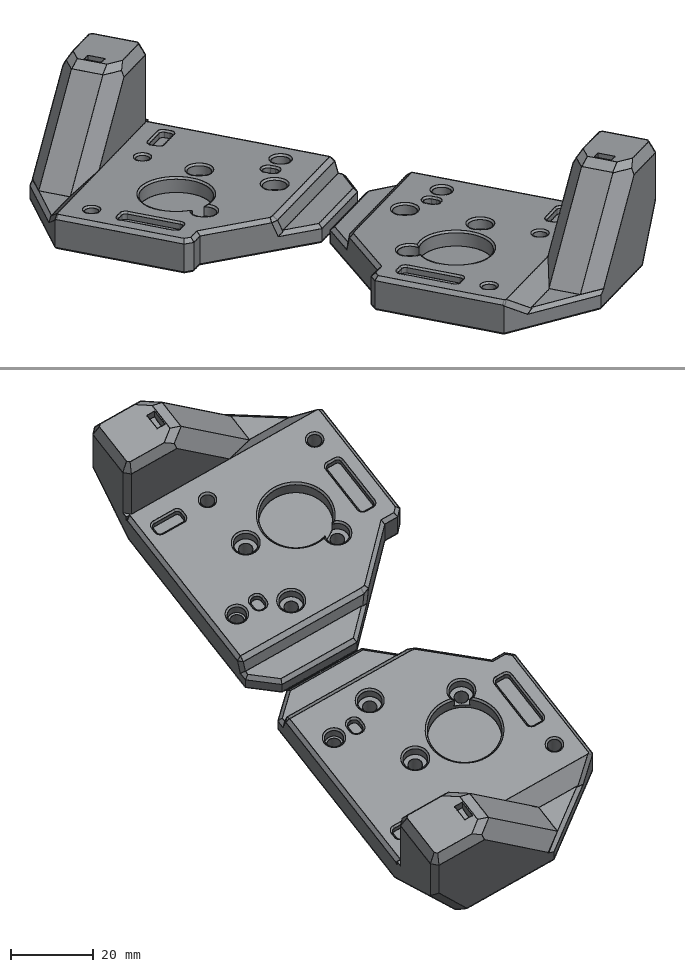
import cadquery as cq
import math

total_width = 150.1
depth = 56.8
tower_height = 30.2
half_gap = 1.0

plate_height = 9.0
ledge_height = 5.0
plate_reach = total_width / 2 - half_gap
front_edge_end = 51.8
front_corner_bevel = 1.8
notch_y = 5.5
tip_front_y = 28.4
tip_back_y = 50.1
tip_back_x = 68.0
step_top_x = 65.3
step_foot_x = 66.5
side_corner_y = 21.9
edge_chamfer = 1.0
base_chamfer = 0.5

tower_width = 16.0
crown_facet_drop = 1.43
slope_top_y = depth - 18.5
slope_top_z = tower_height - crown_facet_drop
slope_foot_y = depth - 38.5
root_y = depth / 2
crest_y = depth - 15.5
flank_leg = 3.9
crown_inset = 1.5
crown_drop = 3.0
crown_corner_y = depth - 12.0
crown_facet_run = 2.0
corner_bevel = 1.5

undercut_depth = 8.0
undercut_slope = math.radians(60)
undercut_width = 17.7
undercut_bevel = 1.7

recess_length = 4.5
recess_width = 2.3
recess_y = 42.8
recess_depth = 3.0
recess_floor_radius = 5.3

rim_chamfer = 0.5
bore_diameter = 3.5
counterbore_diameter = 6.0
small_counterbore_diameter = 4.7
counterbore_floor = 6.0
round_pocket_floor = 5.0
mount_x = 22.8
mount_ys = (6.6, 37.7)
screw_mid_x = 48.0
screw_spacing = 19.8
screw_back_y = 36.8
screw_front_y = 16.8
peg_x = 53.9
peg_y = 49.8
round_pocket_diameter = 18.0
round_pocket_x = 38.3
round_pocket_y = 22.4
slot_depth = 2.0
slots = (
    (mount_x, 49.0, 3.5, 8.0, 1.0),
    (round_pocket_x, mount_ys[0], 15.9, 4.0, 1.0),
    (peg_x, 43.7, 4.0, 3.0, 1.4),
)

cutter_size = 3 * depth


def slice_off(body, point, outward):
    """Remove everything beyond the plane through point that faces outward."""
    plane = cq.Plane(origin=point, normal=outward)
    cutter = cq.Workplane(plane).rect(cutter_size, cutter_size).extrude(cutter_size)
    return body.cut(cutter)


def extrude_outline(height):
    """Footprint of the bracket, extruded upwards from the underside."""
    outline = [
        (0, side_corner_y),
        (tower_width, 0),
        (front_edge_end - front_corner_bevel, 0),
        (front_edge_end, front_corner_bevel),
        (front_edge_end, notch_y),
        (plate_reach, tip_front_y),
        (plate_reach, tip_back_y),
        (tip_back_x, depth),
        (corner_bevel, depth),
        (0, depth - corner_bevel),
    ]
    return cq.Workplane("XY").polyline(outline).close().extrude(height)


def build_plate():
    """Thin slab that forms the deck and the ledge, with the full-height block standing on it."""
    slab = extrude_outline(ledge_height)
    slab = slab.faces(">Z").edges("not <X").chamfer(edge_chamfer)

    step_lean = (step_foot_x - step_top_x) / (plate_height - ledge_height)
    section = [
        (tower_width - plate_height, 0),
        (step_top_x + step_lean * plate_height, 0),
        (step_top_x, plate_height),
        (tower_width, plate_height),
    ]
    block = cq.Workplane("XZ").polyline(section).close().extrude(-depth)
    block = block.intersect(extrude_outline(plate_height))
    rim = block.edges("not(|Z or <Z)").filter(lambda edge: abs(edge.Center().x - tower_width) > 0.02)
    block = rim.chamfer(edge_chamfer)
    return slab.union(block)


def build_tower():
    profile = [
        (depth, 0),
        (depth, tower_height),
        (crest_y, tower_height),
        (slope_top_y, slope_top_z),
        (slope_foot_y, ledge_height),
        (root_y, ledge_height),
        (root_y, 0),
    ]
    tower = cq.Workplane("YZ").polyline(profile).close().extrude(tower_width)

    crown_z = tower_height - crown_drop
    tower = slice_off(tower, (0, depth, crown_z), (0, crown_drop, crown_inset))

    slope_angle = math.atan2(slope_top_z - ledge_height, slope_top_y - slope_foot_y)
    flank_y = -math.sin(slope_angle)
    flank_z = math.cos(slope_angle)
    facet_length = math.hypot(1, flank_y)
    for face_x, side in ((0, -1), (tower_width, 1)):
        tower = slice_off(tower, (face_x, depth, crown_z), (side * crown_drop, 0, crown_inset))
        flank_point = (face_x - side * flank_leg, slope_top_y, slope_top_z)
        tower = slice_off(tower, flank_point, (side, flank_y, flank_z))
        facet_point = (face_x - side * crown_inset, crown_corner_y, tower_height)
        facet_normal = (
            side * crown_facet_drop / facet_length,
            flank_y * crown_facet_drop / facet_length,
            crown_facet_run,
        )
        tower = slice_off(tower, facet_point, facet_normal)
        corner = cq.Workplane("XY", origin=(face_x, depth, 0 if side < 0 else plate_height))
        corner = corner.polyline([(0, 0), (-side * corner_bevel, 0), (0, -corner_bevel)]).close()
        tower = tower.cut(corner.extrude(tower_height))
        corner_point = (face_x - side * corner_bevel, depth, crown_z)
        lean = crown_drop / math.sqrt(2)
        tower = slice_off(tower, corner_point, (side * lean, lean, crown_inset))
    return tower


def cut_corner(body):
    """Undercut the lower back corner on the outer side and bevel the new edge."""
    undercut_height = undercut_depth * math.tan(undercut_slope)
    face = cq.Vector(-1, 0, 0)
    undercut = cq.Vector(-1 / undercut_width, 1 / undercut_depth, -1 / undercut_height).normalized()
    body = slice_off(body, (undercut_width, depth, 0), undercut.toTuple())
    bevel_y = depth - undercut_depth - undercut_bevel / math.sin(undercut_slope)
    return slice_off(body, (0, bevel_y, 0), (face + undercut).toTuple())


def recess_cutter():
    """Short slot across the tower top with a floor that is rounded about the y axis."""
    middle_x = tower_width / 2
    left = middle_x - recess_length / 2
    right = middle_x + recess_length / 2
    sag = recess_floor_radius - math.sqrt(recess_floor_radius**2 - (recess_length / 2) ** 2)
    floor_z = tower_height - recess_depth
    return (
        cq.Workplane("XZ", origin=(0, recess_y + recess_width / 2, 0))
        .moveTo(left, tower_height)
        .lineTo(left, floor_z + sag)
        .threePointArc((middle_x, floor_z), (right, floor_z + sag))
        .lineTo(right, tower_height)
        .close()
        .extrude(recess_width)
    )


def round_cutter(x, y, diameter, floor_z):
    """Round hole from the plate top down to floor_z, with a chamfered rim."""
    hole = cq.Workplane("XY", origin=(x, y, floor_z)).circle(diameter / 2).extrude(plate_height - floor_z)
    rim = (
        cq.Workplane("XY", origin=(x, y, plate_height))
        .circle(diameter / 2 + rim_chamfer)
        .extrude(-rim_chamfer, taper=45)
    )
    return hole.union(rim)


def slot_cutter(x, y, length_x, length_y, corner_radius):
    """Blind slot with rounded corners and a chamfered rim."""
    slot = (
        cq.Workplane("XY", origin=(x, y, plate_height - slot_depth))
        .rect(length_x, length_y)
        .extrude(slot_depth)
        .edges("|Z")
        .fillet(corner_radius)
    )
    rim = slot.faces(">Z").wires().toPending().workplane().offset2D(rim_chamfer)
    return slot.union(rim.extrude(-rim_chamfer, taper=45))


def cut_holes(body):
    for y in mount_ys:
        body = body.cut(round_cutter(mount_x, y, bore_diameter, 0))

    counterbores = [
        (screw_mid_x - screw_spacing / 2, screw_back_y, counterbore_diameter),
        (screw_mid_x + screw_spacing / 2, screw_back_y, counterbore_diameter),
        (screw_mid_x, screw_front_y, counterbore_diameter),
        (peg_x, peg_y, small_counterbore_diameter),
    ]
    for x, y, diameter in counterbores:
        body = body.cut(round_cutter(x, y, diameter, counterbore_floor))
        bore = cq.Workplane("XY", origin=(x, y, 0)).circle(bore_diameter / 2).extrude(plate_height)
        body = body.cut(bore)

    body = body.cut(round_cutter(round_pocket_x, round_pocket_y, round_pocket_diameter, round_pocket_floor))
    for slot in slots:
        body = body.cut(slot_cutter(*slot))
    return body


def build_left_bracket():
    bracket = build_plate().union(build_tower())
    bracket = bracket.faces("<Z").chamfer(base_chamfer)
    bracket = cut_corner(bracket)
    bracket = bracket.cut(recess_cutter())
    bracket = cut_holes(bracket)
    return bracket.translate((-total_width / 2, 0, 0))


left_bracket = build_left_bracket()
right_bracket = left_bracket.mirror("YZ")

result = cq.Compound.makeCompound([left_bracket.val(), right_bracket.val()])